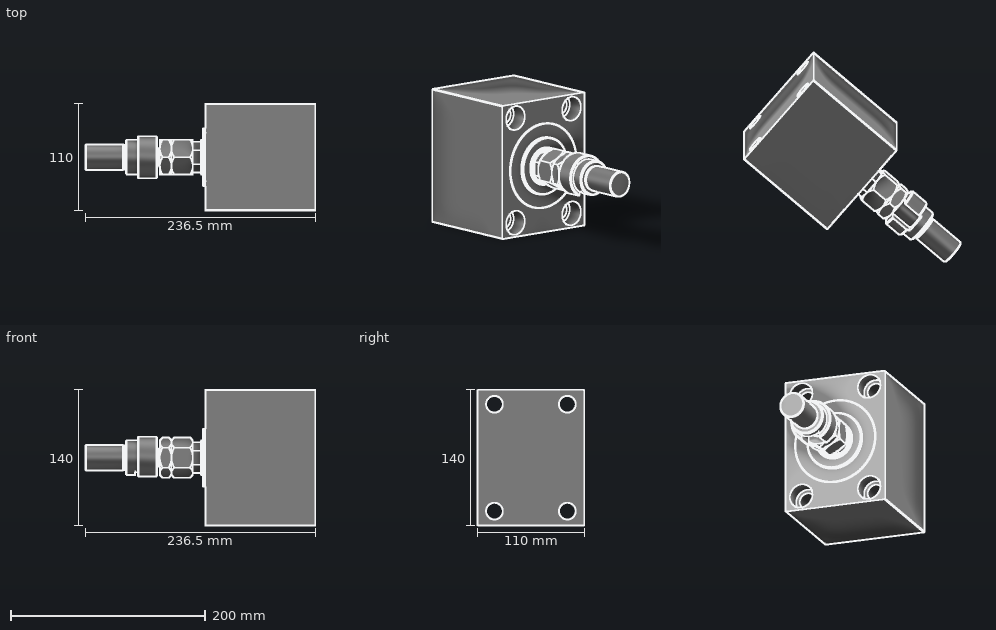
import cadquery as cq
import math


BLOCK_LENGTH = 113.0
BLOCK_WIDTH = 110.0
BLOCK_HEIGHT = 140.0
BLOCK_EDGE_CHAMFER = 0.7
BOLT_SPACING_Y = 75.0
BOLT_SPACING_Z = 110.0
BOLT_HOLE_DIAMETER = 17.0
BOLT_HEAD_DIAMETER = 25.0
BOLT_HEAD_DEPTH = 18.0

GLAND_DIAMETER = 89.0
GLAND_DEPTH = 25.0
GLAND_CHAMFER = 0.7
GLAND_COLLAR_DIAMETER = 60.0
GLAND_COLLAR_CHAMFER = 1.0
GLAND_FRONT_X = -3.0
BORE_RECESS_DIAMETER = 39.4
BORE_RECESS_DEPTH = 1.0

ROD_DIAMETER = 36.0
ROD_CHAMFER = 0.8
ROD_SHOULDER_X = -5.0
WRENCH_ZONE_DIAMETER = 35.0
WRENCH_FLATS = 32.0
HEX_FLATS = 36.0
HEX_LENGTH = 22.0
HEX_BACK_X = -13.0
HEX_FRONT_X = HEX_BACK_X - HEX_LENGTH
NUT_LENGTH = 12.0
NUT_FRONT_X = HEX_FRONT_X - NUT_LENGTH
THREAD_DIAMETER = 20.0
NECK_DIAMETER = 18.0

COUPLING_BACK_X = -49.8
HEAD_DIAMETER = 43.5
HEAD_FRONT_X = -69.8
HEAD_CHAMFER = 1.0
COLLAR_DIAMETER = 36.0
COLLAR_FRONT_X = -82.0
COLLAR_CHAMFER = 1.2
UNDERCUT_DIAMETER = 25.4
UNDERCUT_LENGTH = 1.7
UNDERCUT_TAPER = 1.2
SHANK_DIAMETER = 26.5
SHANK_CHAMFER = 0.8
SHANK_FRONT_X = -123.5
SLOT_WIDTH = 19.5
SLOT_FRONT_X = -72.5


def cylinder(diameter, x_start, x_end):
    """Solid cylinder on the X axis between two stations."""
    return cq.Workplane("YZ", origin=(x_start, 0, 0)).circle(diameter / 2).extrude(x_end - x_start)


def turned(profile):
    """Solid of revolution about the X axis from (x, radius) points that start and end on the axis."""
    return cq.Workplane("XY").polyline(profile).close().revolve(360, (0, 0, 0), (1, 0, 0))


def chamfered_hexagon(x_start, x_end):
    """Hexagon with corners up and down, both ends turned to a 45 degree cone."""
    corner_radius = HEX_FLATS / math.sqrt(3)
    cone_radius = HEX_FLATS / 2
    cone_length = corner_radius - cone_radius
    blank = (
        cq.Workplane("YZ", origin=(x_start, 0, 0))
        .transformed(rotate=(0, 0, 90))
        .polygon(6, 2 * corner_radius)
        .extrude(x_end - x_start)
    )
    envelope = turned([
        (x_start, 0),
        (x_start, cone_radius),
        (x_start + cone_length, corner_radius),
        (x_end - cone_length, corner_radius),
        (x_end, cone_radius),
        (x_end, 0),
    ])
    return blank.intersect(envelope)


def make_housing():
    """Rectangular block with four counterbored bolt holes and the gland seat."""
    block = (
        cq.Workplane("YZ")
        .rect(BLOCK_WIDTH, BLOCK_HEIGHT)
        .extrude(BLOCK_LENGTH)
        .edges("|X")
        .chamfer(BLOCK_EDGE_CHAMFER)
    )
    bolt_centres = cq.Workplane("YZ").rect(BOLT_SPACING_Y, BOLT_SPACING_Z, forConstruction=True).vertices()
    bolt_holes = bolt_centres.circle(BOLT_HOLE_DIAMETER / 2).extrude(BLOCK_LENGTH)
    head_recesses = bolt_centres.circle(BOLT_HEAD_DIAMETER / 2).extrude(BOLT_HEAD_DEPTH)
    gland_seat = cylinder(GLAND_DIAMETER, 0, GLAND_DEPTH)
    return block.cut(bolt_holes).cut(head_recesses).cut(gland_seat)


def make_gland():
    """Stepped bush with a through bore for the rod and a shallow recess at its mouth."""
    radius = GLAND_DIAMETER / 2
    collar_radius = GLAND_COLLAR_DIAMETER / 2
    bush = turned([
        (GLAND_FRONT_X, 0),
        (GLAND_FRONT_X, collar_radius - GLAND_COLLAR_CHAMFER),
        (GLAND_FRONT_X + GLAND_COLLAR_CHAMFER, collar_radius),
        (0, collar_radius),
        (0, radius - GLAND_CHAMFER),
        (GLAND_CHAMFER, radius),
        (GLAND_DEPTH, radius),
        (GLAND_DEPTH, 0),
    ])
    rod_bore = cylinder(ROD_DIAMETER, GLAND_FRONT_X, GLAND_DEPTH)
    bore_recess = cylinder(BORE_RECESS_DIAMETER, GLAND_FRONT_X, GLAND_FRONT_X + BORE_RECESS_DEPTH)
    return bush.cut(rod_bore).cut(bore_recess)


def make_rod():
    """Rod that fills the gland bore, with wrench flats, hexagon, thread and neck in front."""
    shaft = cylinder(ROD_DIAMETER, ROD_SHOULDER_X, GLAND_DEPTH).faces("<X").chamfer(ROD_CHAMFER)
    wrench_square = (
        cq.Workplane("YZ", origin=(HEX_BACK_X, 0, 0))
        .rect(WRENCH_FLATS, WRENCH_FLATS)
        .extrude(ROD_SHOULDER_X - HEX_BACK_X)
    )
    wrench_zone = cylinder(WRENCH_ZONE_DIAMETER, HEX_BACK_X, ROD_SHOULDER_X).intersect(wrench_square)
    hexagon = chamfered_hexagon(HEX_FRONT_X, HEX_BACK_X)
    thread_radius = THREAD_DIAMETER / 2
    neck_radius = NECK_DIAMETER / 2
    stud = turned([
        (SLOT_FRONT_X, 0),
        (SLOT_FRONT_X, neck_radius),
        (NUT_FRONT_X - (thread_radius - neck_radius), neck_radius),
        (NUT_FRONT_X, thread_radius),
        (HEX_FRONT_X, thread_radius),
        (HEX_FRONT_X, 0),
    ])
    return shaft.union(wrench_zone).union(hexagon).union(stud)


def make_lock_nut():
    """Thin hexagon nut clamped against the rod hexagon."""
    nut = chamfered_hexagon(NUT_FRONT_X, HEX_FRONT_X)
    return nut.cut(cylinder(THREAD_DIAMETER, NUT_FRONT_X, HEX_FRONT_X))


def make_coupling():
    """Turned coupling with a U-shaped slot, open downwards, that takes the rod neck."""
    head_radius = HEAD_DIAMETER / 2
    collar_radius = COLLAR_DIAMETER / 2
    undercut_radius = UNDERCUT_DIAMETER / 2
    shank_radius = SHANK_DIAMETER / 2
    undercut_front_x = COLLAR_FRONT_X - UNDERCUT_LENGTH
    body = turned([
        (SHANK_FRONT_X, 0),
        (SHANK_FRONT_X, shank_radius - SHANK_CHAMFER),
        (SHANK_FRONT_X + SHANK_CHAMFER, shank_radius),
        (undercut_front_x - UNDERCUT_TAPER, shank_radius),
        (undercut_front_x, undercut_radius),
        (COLLAR_FRONT_X, undercut_radius),
        (COLLAR_FRONT_X, collar_radius - COLLAR_CHAMFER),
        (COLLAR_FRONT_X + COLLAR_CHAMFER, collar_radius),
        (HEAD_FRONT_X, collar_radius),
        (HEAD_FRONT_X, head_radius - HEAD_CHAMFER),
        (HEAD_FRONT_X + HEAD_CHAMFER, head_radius),
        (COUPLING_BACK_X - HEAD_CHAMFER, head_radius),
        (COUPLING_BACK_X, head_radius - HEAD_CHAMFER),
        (COUPLING_BACK_X, 0),
    ])
    slot_round = cylinder(SLOT_WIDTH, SLOT_FRONT_X, COUPLING_BACK_X)
    slot_mouth = (
        cq.Workplane("YZ", origin=(SLOT_FRONT_X, 0, 0))
        .center(0, -head_radius / 2)
        .rect(SLOT_WIDTH, head_radius)
        .extrude(COUPLING_BACK_X - SLOT_FRONT_X)
    )
    return body.cut(slot_round).cut(slot_mouth)


housing = make_housing()
gland = make_gland()
rod = make_rod()
lock_nut = make_lock_nut()
coupling = make_coupling()

result = cq.Compound.makeCompound([
    housing.val(),
    gland.val(),
    rod.val(),
    lock_nut.val(),
    coupling.val(),
])